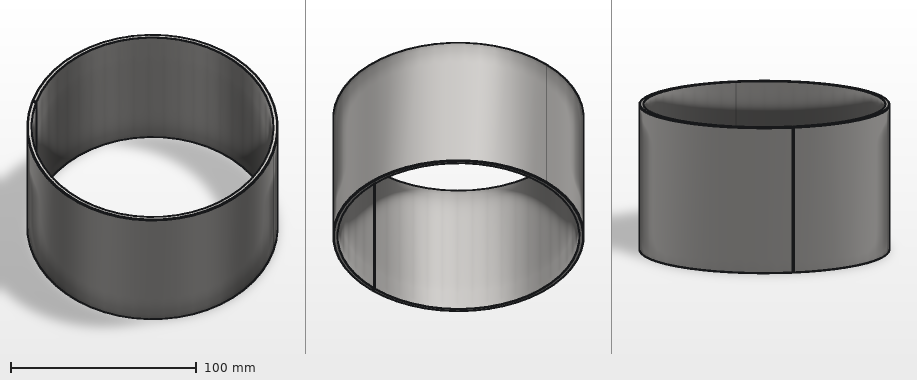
import cadquery as cq
import math

outer_diameter = 135.0
wall_thickness = 2.5
height = 80.0
outer_rim_chamfer = 0.5
inner_rim_chamfer = 0.2
gap_angle = 1.0

outer_radius = outer_diameter / 2
inner_radius = outer_radius - wall_thickness
gap_reach = 2 * outer_radius


def make_sleeve():
    """Tube standing on the XY plane, chamfered along all four rims."""
    inner_rims = cq.selectors.RadiusNthSelector(0)
    outer_rims = cq.selectors.RadiusNthSelector(-1)
    sleeve = cq.Workplane("XY").circle(outer_radius).circle(inner_radius).extrude(height)
    sleeve = sleeve.edges(inner_rims).chamfer(inner_rim_chamfer)
    return sleeve.edges(outer_rims).chamfer(outer_rim_chamfer)


def make_gap():
    """Full-height wedge with its tip on the Z axis, opening toward -X."""
    far_width = gap_reach * math.tan(math.radians(gap_angle))
    return (
        cq.Workplane("XY")
        .lineTo(-gap_reach, far_width)
        .lineTo(-gap_reach, 0)
        .close()
        .extrude(height)
    )


result = make_sleeve().cut(make_gap())